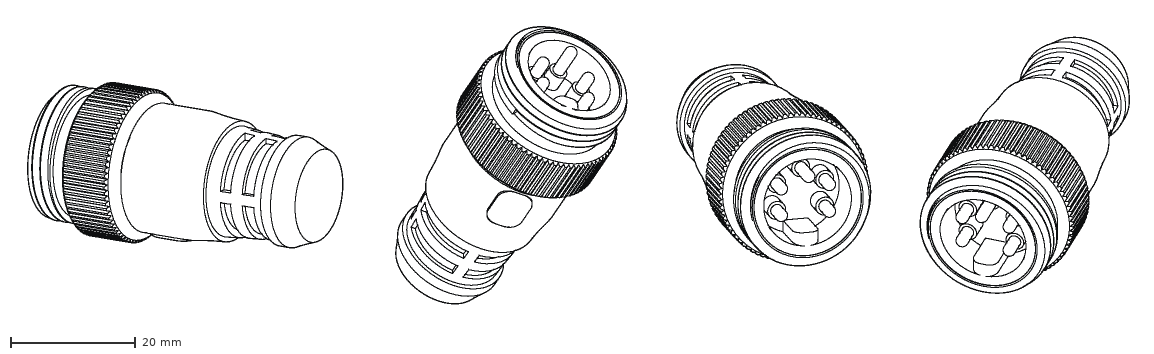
import cadquery as cq
import math

LENGTH = 50.3
EPS = 0.025

FACE_X = 1.5
FACE_RADIUS = 9.3
CHAMFER_END_X = 2.2
THREAD_RADIUS = 11.0
THREAD_ROOT_RADIUS = 9.5
THREAD_END_X = 6.5
THREAD_PITCH = 1.5
GROOVE_START_X = 1.45
GROOVE_START_ANGLE = -45
GROOVE_TURNS = 3
GROOVE_TOP_RADIUS = 11.05
GROOVE_HALF_WIDTH = 0.7
SHANK_RADIUS = 10.0

NUT_START_X = 9.4
NUT_END_X = 17.95
NUT_DIAMETER = 25.0
NUT_RADIUS = NUT_DIAMETER / 2
NUT_CHAMFER = 0.5
KNURL_COUNT = 80
KNURL_DEPTH = 0.35
KNURL_MOUTH = 0.6

NECK_RADIUS = 8.0
SLEEVE_START_X = 19.45
SLEEVE_END_X = 28.1
SLEEVE_RADIUS = 10.55
TAPER_END_X = 34.5
TAPER_END_RADIUS = 9.85
TAPER_SAG = 0.1
GRIP_RADIUS = 9.05
GRIP_END_RADIUS = 8.3
GRIP_SAG = 0.075
COLLAR_START_X = 44.7
COLLAR_END_X = 46.6
COLLAR_RADIUS = 9.05
TAIL_RADIUS = 7.6
TAIL_SAG = 0.05

WINDOWS = [(37.0, 38.85), (40.95, 43.0)]
WINDOW_FLOOR_RADIUS = 7.65
RIB_WIDTH = 1.9

PAD_LENGTH = 7.85
PAD_WIDTH = 6.05
PAD_CORNER_RADIUS = 2.25
PAD_X = (SLEEVE_START_X + SLEEVE_END_X) / 2

SOCKET_RADIUS = 7.35
SOCKET_FLOOR_X = 8.75
INSERT_RADIUS = 9.0
INSERT_RECESS = 0.1
KEY_START_X = FACE_X + INSERT_RECESS
KEY_WIDTH = 4.25
KEY_TOP_Z = -5.1
KEY_CORNER_RADIUS = 1.55
PIN_RADIUS = 1.0
PIN_BASE_RADIUS = 1.5
PIN_BASE_X = 5.65
PIN_SIDE_Y = 4.0
PIN_SIDE_Z = 2.25
LONG_PIN_Z = 4.65
SHORT_PIN_X = 1.95
PINS = [
    (0.0, 0.0, LONG_PIN_Z),
    (SHORT_PIN_X, PIN_SIDE_Y, PIN_SIDE_Z),
    (SHORT_PIN_X, PIN_SIDE_Y, -PIN_SIDE_Z),
    (SHORT_PIN_X, -PIN_SIDE_Y, PIN_SIDE_Z),
    (SHORT_PIN_X, -PIN_SIDE_Y, -PIN_SIDE_Z),
]


def cylinder(start_x, end_x, radius, y=0.0, z=0.0):
    return cq.Workplane("YZ", origin=(start_x, y, z)).circle(radius).extrude(end_x - start_x)


def bowed_line(profile, start, end, sag):
    """Add an arc from start to end that bows toward the axis by sag."""
    middle = ((start[0] + end[0]) / 2, (start[1] + end[1]) / 2 - sag)
    return profile.threePointArc(middle, end)


def make_body():
    """Turned blank; its shank-to-neck step is hidden inside the nut."""
    nut_middle_x = (NUT_START_X + NUT_END_X) / 2
    profile = (
        cq.Workplane("XY")
        .moveTo(FACE_X, 0)
        .lineTo(FACE_X, FACE_RADIUS)
        .lineTo(CHAMFER_END_X, THREAD_RADIUS)
        .lineTo(THREAD_END_X, THREAD_RADIUS)
        .lineTo(THREAD_END_X, SHANK_RADIUS)
        .lineTo(nut_middle_x, SHANK_RADIUS)
        .lineTo(nut_middle_x, NECK_RADIUS)
        .lineTo(SLEEVE_START_X, NECK_RADIUS)
        .lineTo(SLEEVE_START_X, SLEEVE_RADIUS)
        .lineTo(SLEEVE_END_X, SLEEVE_RADIUS)
    )
    profile = bowed_line(profile, (SLEEVE_END_X, SLEEVE_RADIUS), (TAPER_END_X, TAPER_END_RADIUS), TAPER_SAG)
    profile = profile.lineTo(TAPER_END_X, GRIP_RADIUS)
    profile = bowed_line(profile, (TAPER_END_X, GRIP_RADIUS), (COLLAR_START_X, GRIP_END_RADIUS), GRIP_SAG)
    profile = profile.lineTo(COLLAR_START_X, COLLAR_RADIUS).lineTo(COLLAR_END_X, COLLAR_RADIUS)
    profile = bowed_line(profile, (COLLAR_END_X, COLLAR_RADIUS), (LENGTH, TAIL_RADIUS), TAIL_SAG)
    return profile.lineTo(LENGTH, 0).close().revolve(360, (0, 0, 0), (1, 0, 0))


def make_thread_groove():
    """Right-handed V groove wound about X, beginning and ending at GROOVE_START_ANGLE from +Y."""
    helix = cq.Wire.makeHelix(THREAD_PITCH, GROOVE_TURNS * THREAD_PITCH, THREAD_ROOT_RADIUS)
    groove = (
        cq.Workplane("XZ")
        .polyline([
            (THREAD_ROOT_RADIUS, 0),
            (GROOVE_TOP_RADIUS, GROOVE_HALF_WIDTH),
            (GROOVE_TOP_RADIUS, -GROOVE_HALF_WIDTH),
        ])
        .close()
        .sweep(cq.Workplane(helix), isFrenet=True)
    )
    return (
        groove.rotate((0, 0, 0), (0, 1, 0), 90)
        .rotate((0, 0, 0), (1, 0, 0), 90 + GROOVE_START_ANGLE)
        .translate((GROOVE_START_X, 0, 0))
    )


def make_nut():
    """Coupling nut with V grooves all round and chamfered rims."""
    tip_half_angle = math.pi / KNURL_COUNT - math.asin(KNURL_MOUTH / 2 / NUT_RADIUS)
    outline = []
    for tooth in range(KNURL_COUNT):
        valley = tooth * 2 * math.pi / KNURL_COUNT
        tip = valley + math.pi / KNURL_COUNT
        for radius, angle in (
            (NUT_RADIUS - KNURL_DEPTH, valley),
            (NUT_RADIUS, tip - tip_half_angle),
            (NUT_RADIUS, tip + tip_half_angle),
        ):
            outline.append((radius * math.cos(angle), radius * math.sin(angle)))
    toothed = (
        cq.Workplane("YZ", origin=(NUT_START_X, 0, 0))
        .polyline(outline)
        .close()
        .extrude(NUT_END_X - NUT_START_X)
    )
    return toothed.intersect(cylinder(NUT_START_X, NUT_END_X, NUT_RADIUS + EPS).edges().chamfer(NUT_CHAMFER))


def make_windows():
    """Ring grooves in the grip, interrupted by four ribs on the Y and Z axes."""
    outer = SLEEVE_RADIUS
    cutter = cq.Workplane("XY")
    for start_x, end_x in WINDOWS:
        ring = cylinder(start_x, end_x, outer).cut(cylinder(start_x, end_x, WINDOW_FLOOR_RADIUS))
        cutter = cutter.add(ring)
    cutter = cutter.combine()
    grip_length = COLLAR_START_X - TAPER_END_X
    middle = ((TAPER_END_X + COLLAR_START_X) / 2, 0, 0)
    for width, height in ((RIB_WIDTH, 2 * outer), (2 * outer, RIB_WIDTH)):
        cutter = cutter.cut(cq.Workplane("XY").box(grip_length, width, height).translate(middle))
    return cutter


def make_pad():
    return (
        cq.Workplane("XY", origin=(PAD_X, 0, -SLEEVE_RADIUS))
        .rect(PAD_LENGTH, PAD_WIDTH)
        .extrude(SLEEVE_RADIUS / 2)
        .edges("|Z")
        .fillet(PAD_CORNER_RADIUS)
    )


def make_key():
    """Key on the socket wall: a round-nosed block trimmed to the socket bore."""
    length = SOCKET_FLOOR_X + EPS - KEY_START_X
    block = (
        cq.Workplane("XY", origin=(KEY_START_X + length / 2, 0, KEY_TOP_Z))
        .rect(length, KEY_WIDTH)
        .extrude(-SOCKET_RADIUS - KEY_TOP_Z)
        .edges("|Z and <X")
        .fillet(KEY_CORNER_RADIUS)
    )
    return block.intersect(cylinder(KEY_START_X, SOCKET_FLOOR_X + EPS, SOCKET_RADIUS + EPS))


def make_pin(tip_x, y, z):
    """Contact with a domed tip and a thicker base."""
    shaft = cylinder(tip_x, SOCKET_FLOOR_X + EPS, PIN_RADIUS, y, z).faces("<X").edges().fillet(PIN_RADIUS - EPS)
    return shaft.union(cylinder(PIN_BASE_X, SOCKET_FLOOR_X + EPS, PIN_BASE_RADIUS, y, z))


result = make_body().cut(make_thread_groove())
result = result.union(make_nut()).union(make_pad()).cut(make_windows())
result = result.cut(cylinder(FACE_X, FACE_X + INSERT_RECESS, INSERT_RADIUS))
result = result.cut(cylinder(FACE_X, SOCKET_FLOOR_X, SOCKET_RADIUS)).union(make_key())
for pin in PINS:
    result = result.union(make_pin(*pin))